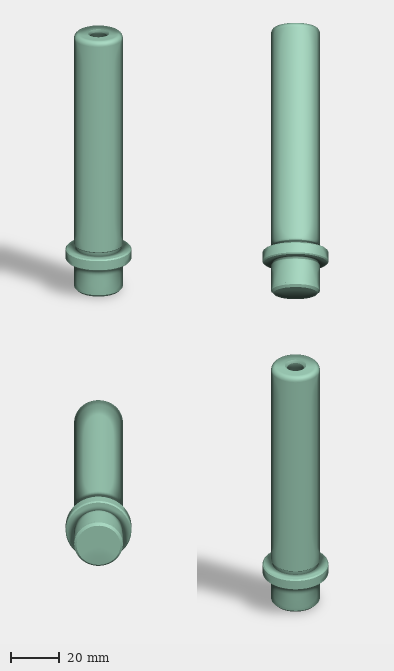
import cadquery as cq
import math

spigot_length = 13.0
flange_thickness = 5.0
shaft_length = 95.0
flange_top = spigot_length + flange_thickness
total_length = flange_top + shaft_length

body_radius = 10.0
flange_radius = 13.5
relief_radius = 9.5
relief_depth = body_radius - relief_radius

upper_relief_width = 2.0
lower_relief_width = 1.2
lower_relief_fillet = 0.1

tip_fillet = 2.0
flange_chamfer = 0.5

pilot_length = 2.0
pilot_clearance = 0.02
pilot_radius = body_radius - pilot_clearance
pilot_chamfer = 1.0

hole_radius = 3.4
hole_depth = 20.0
countersink_radius = 4.4
countersink_depth = countersink_radius - hole_radius
drill_point_angle = 118.0


def turned_body():
    """Spigot, flange and shaft, revolved from one half profile of (radius, height)."""
    spigot_shoulder = spigot_length - lower_relief_width
    shaft_bottom = flange_top + upper_relief_width
    fillet_diagonal = tip_fillet * math.sqrt(0.5)
    fillet_middle = (
        body_radius - tip_fillet + fillet_diagonal,
        total_length - tip_fillet + fillet_diagonal,
    )
    profile = (
        cq.Workplane("XZ")
        .moveTo(0, 0)
        .lineTo(body_radius - pilot_chamfer, 0)
        .lineTo(pilot_radius, pilot_chamfer)
        .lineTo(pilot_radius, pilot_length)
        .lineTo(body_radius, pilot_length)
        .lineTo(body_radius, spigot_shoulder)
        .lineTo(relief_radius, spigot_shoulder + relief_depth)
        .lineTo(relief_radius, spigot_length - lower_relief_fillet)
        .radiusArc((relief_radius + lower_relief_fillet, spigot_length), lower_relief_fillet)
        .lineTo(flange_radius - flange_chamfer, spigot_length)
        .lineTo(flange_radius, spigot_length + flange_chamfer)
        .lineTo(flange_radius, flange_top - flange_chamfer)
        .lineTo(flange_radius - flange_chamfer, flange_top)
        .lineTo(relief_radius, flange_top)
        .lineTo(relief_radius, shaft_bottom - relief_depth)
        .lineTo(body_radius, shaft_bottom)
        .lineTo(body_radius, total_length - tip_fillet)
        .threePointArc(fillet_middle, (body_radius - tip_fillet, total_length))
        .lineTo(0, total_length)
        .close()
    )
    return profile.revolve(360, (0, 0, 0), (0, 1, 0))


def top_hole():
    """Countersunk blind hole with a conical drill point."""
    hole_floor = total_length - hole_depth
    point_height = hole_radius / math.tan(math.radians(drill_point_angle / 2))
    profile = (
        cq.Workplane("XZ")
        .moveTo(0, total_length)
        .lineTo(countersink_radius, total_length)
        .lineTo(hole_radius, total_length - countersink_depth)
        .lineTo(hole_radius, hole_floor)
        .lineTo(0, hole_floor - point_height)
        .close()
    )
    return profile.revolve(360, (0, 0, 0), (0, 1, 0))


result = turned_body().cut(top_hole())